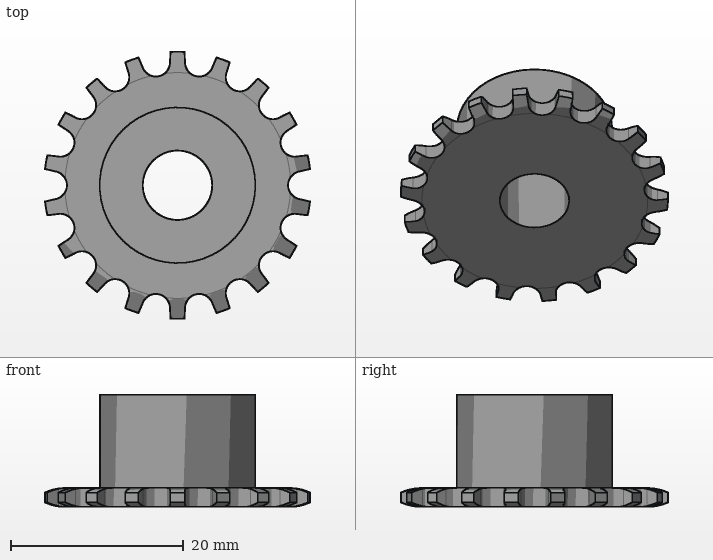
import cadquery as cq
import math

tooth_count = 18
outer_diameter = 30.9
plate_thickness = 2.2
hub_diameter = 18.0
total_height = 13.0
bore_diameter = 8.0

chain_pitch = 5.0
roller_diameter = 3.2

seat_clearance_factor = 1.01
seat_radius = seat_clearance_factor * roller_diameter / 2
seat_half_angle = math.radians(78)
flank_radius = 30.0

relief_start_diameter = 26.1
tip_width = 1.13

outer_radius = outer_diameter / 2
tooth_angle = 360 / tooth_count
pitch_diameter = chain_pitch / math.sin(math.pi / tooth_count)
root_radius = (pitch_diameter - roller_diameter) / 2
seat_center = root_radius + seat_radius


def make_rim():
    """Revolve the toothless rim, whose sides curve in toward the outer edge."""
    relief_start = relief_start_diameter / 2
    relief_length = outer_radius - relief_start
    relief_depth = (plate_thickness - tip_width) / 2
    relief_radius = (relief_length**2 + relief_depth**2) / (2 * relief_depth)
    half_sweep = math.asin(relief_length / relief_radius) / 2
    mid_radius = relief_start + relief_radius * math.sin(half_sweep)
    mid_depth = relief_radius * (1 - math.cos(half_sweep))
    return (
        cq.Workplane("XZ")
        .lineTo(relief_start, 0)
        .threePointArc((mid_radius, mid_depth), (outer_radius, relief_depth))
        .lineTo(outer_radius, plate_thickness - relief_depth)
        .threePointArc((mid_radius, plate_thickness - mid_depth), (relief_start, plate_thickness))
        .lineTo(0, plate_thickness)
        .close()
        .revolve(360, (0, 0), (0, 1))
    )


def make_tooth_gap():
    """Cutter for the tooth gap centred on the +X axis."""
    seat_end_x = seat_center - seat_radius * math.cos(seat_half_angle)
    seat_end_y = seat_radius * math.sin(seat_half_angle)

    center_distance = seat_radius + flank_radius
    flank_center_x = seat_center - center_distance * math.cos(seat_half_angle)
    flank_center_y = center_distance * math.sin(seat_half_angle)

    center_radius = math.hypot(flank_center_x, flank_center_y)
    center_angle = math.atan2(flank_center_y, flank_center_x)
    cosine = (outer_radius**2 + center_radius**2 - flank_radius**2) / (2 * outer_radius * center_radius)
    tip_angle = center_angle - math.acos(cosine)
    tip_x = outer_radius * math.cos(tip_angle)
    tip_y = outer_radius * math.sin(tip_angle)

    middle_direction = math.atan2(
        (seat_end_y + tip_y) / 2 - flank_center_y,
        (seat_end_x + tip_x) / 2 - flank_center_x,
    )
    flank_mid_x = flank_center_x + flank_radius * math.cos(middle_direction)
    flank_mid_y = flank_center_y + flank_radius * math.sin(middle_direction)

    clear_x = outer_radius + seat_radius
    return (
        cq.Workplane("XY")
        .moveTo(root_radius, 0)
        .radiusArc((seat_end_x, seat_end_y), seat_radius)
        .threePointArc((flank_mid_x, flank_mid_y), (tip_x, tip_y))
        .lineTo(clear_x, tip_y)
        .lineTo(clear_x, -tip_y)
        .lineTo(tip_x, -tip_y)
        .threePointArc((flank_mid_x, -flank_mid_y), (seat_end_x, -seat_end_y))
        .radiusArc((root_radius, 0), seat_radius)
        .close()
        .extrude(plate_thickness)
    )


def cut_tooth_gaps(rim):
    """Cut the gaps around the rim, leaving a tooth centred on the +Y axis."""
    first_angle = 90 + tooth_angle / 2
    gap = make_tooth_gap()
    for index in range(tooth_count):
        angle = first_angle + index * tooth_angle
        rim = rim.cut(gap.rotate((0, 0, 0), (0, 0, 1), angle))
    return rim


def make_hub():
    return cq.Workplane("XY").circle(hub_diameter / 2).extrude(total_height)


def make_bore():
    return cq.Workplane("XY").circle(bore_diameter / 2).extrude(total_height)


sprocket = cut_tooth_gaps(make_rim())
result = sprocket.union(make_hub()).cut(make_bore())